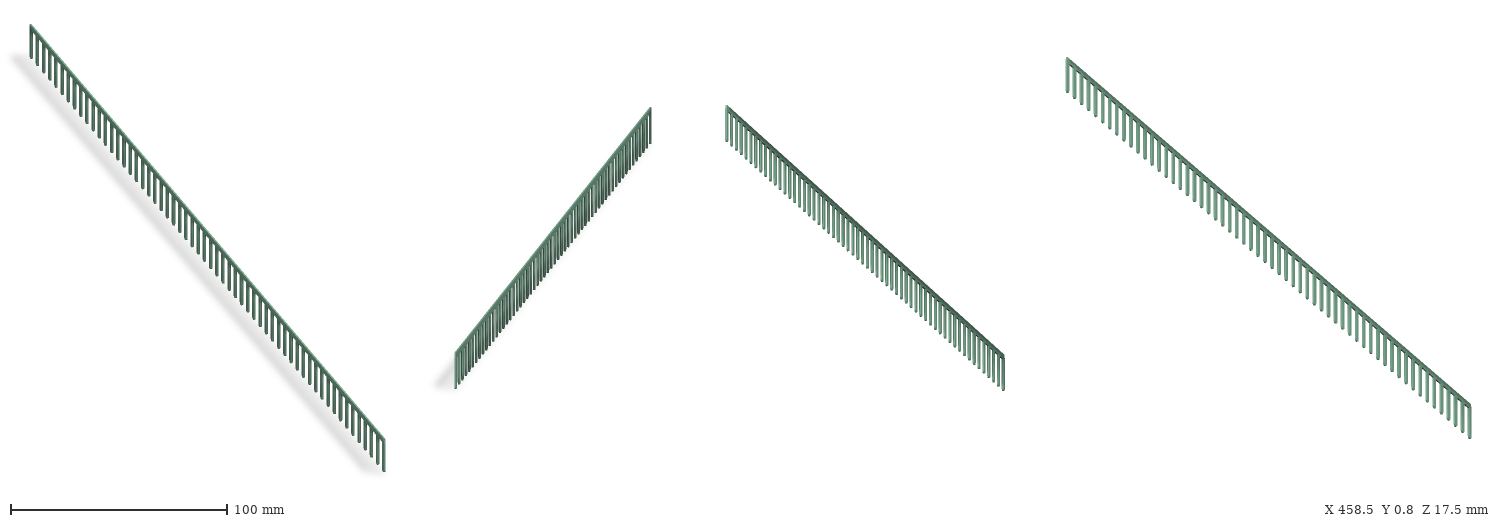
import cadquery as cq
import math

total_height = 17.5
thickness = 0.8

tooth_count = 58
tooth_pitch = 8.0
tooth_width = 2.5

strip_height = 2.5
end_lean_degrees = 10.0

tip_radius = tooth_width / 2
tooth_length = total_height - strip_height
outer_length = (tooth_count - 1) * tooth_pitch + tooth_width
end_slant = strip_height * math.tan(math.radians(end_lean_degrees))
top_length = outer_length - 2 * end_slant
first_tooth_x = -(tooth_count - 1) * tooth_pitch / 2


def draw_tooth(outline, center_x):
    """Continue the outline down one tooth, around its tip and back up to the strip."""
    left = center_x - tip_radius
    right = center_x + tip_radius
    return (
        outline.lineTo(left, tooth_length)
        .lineTo(left, tip_radius)
        .threePointArc((center_x, 0), (right, tip_radius))
        .lineTo(right, tooth_length)
    )


def make_comb():
    """Comb cut from flat sheet, centered across its thickness, tooth tips at Z = 0."""
    half_top = top_length / 2
    outline = cq.Workplane("XZ").moveTo(-half_top, total_height)
    for index in range(tooth_count):
        outline = draw_tooth(outline, first_tooth_x + index * tooth_pitch)
    return (
        outline.lineTo(half_top, total_height)
        .close()
        .extrude(thickness / 2, both=True)
    )


result = make_comb()